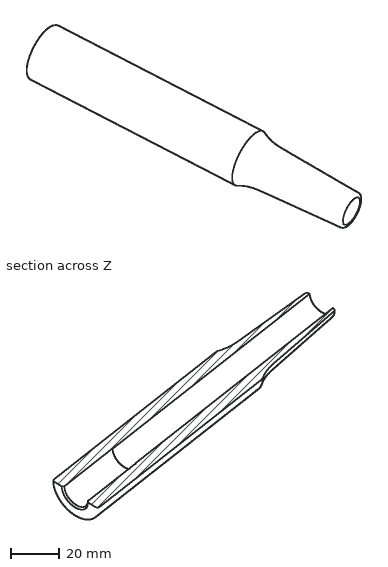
import cadquery as cq

length = 155.0
body_diameter = 25.4
body_length = 103.7

flare_length = 9.8
nose_root_diameter = 20.2
nose_tip_diameter = 16.3

bore_diameter = 12.7
entry_diameter = 13.0
entry_depth = 31.0
entry_chamfer = 0.8

edge_radius = 1.1

back_x = -length / 2
tip_x = length / 2
flare_x = back_x + body_length
nose_x = flare_x + flare_length


def make_outside():
    """Revolve the body, the flare and the nose about the X axis."""
    nose_root = (nose_x, nose_root_diameter / 2)
    nose_tip = (tip_x, nose_tip_diameter / 2)
    profile = (
        cq.Workplane("XY")
        .moveTo(tip_x, 0)
        .lineTo(*nose_tip)
        .lineTo(*nose_root)
        .tangentArcPoint((flare_x, body_diameter / 2), relative=False)
        .lineTo(back_x, body_diameter / 2)
        .lineTo(back_x, 0)
        .close()
    )
    solid = profile.revolve(360, (0, 0, 0), (1, 0, 0))
    return solid.faces("<X or >X").edges().fillet(edge_radius)


def make_bore():
    """Through bore, entry counterbore and the chamfer at its mouth."""
    entry_radius = entry_diameter / 2
    step_x = back_x + entry_depth
    profile = (
        cq.Workplane("XY")
        .moveTo(back_x, 0)
        .lineTo(back_x, entry_radius + entry_chamfer)
        .lineTo(back_x + entry_chamfer, entry_radius)
        .lineTo(step_x, entry_radius)
        .lineTo(step_x, bore_diameter / 2)
        .lineTo(tip_x, bore_diameter / 2)
        .lineTo(tip_x, 0)
        .close()
    )
    return profile.revolve(360, (0, 0, 0), (1, 0, 0))


result = make_outside().cut(make_bore())